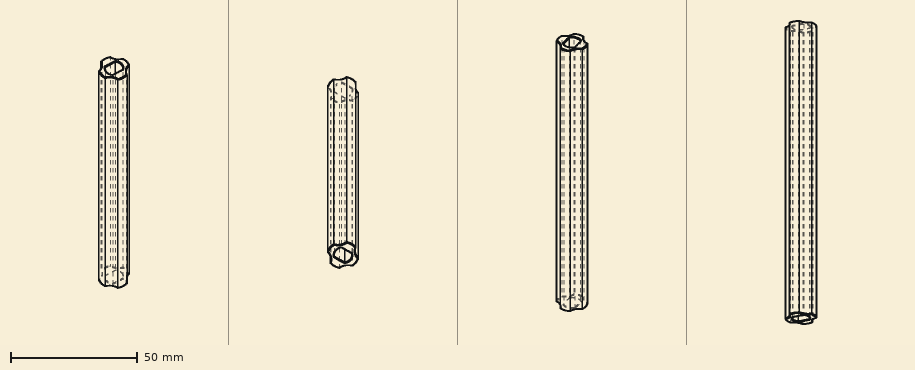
import cadquery as cq

length = 125.0
outer_radius = 6.2
flute_count = 4
flute_radius = 5.0
flute_axis_distance = 10.0
bore_radius = 3.5
bore_flat_offset = 2.5
end_chamfer = 0.3

first_flute_angle = 180.0 / flute_count


def fluted_bar():
    """Round bar with concave flutes along its full length, leaving a lobe between each pair."""
    bar = cq.Workplane("XY").circle(outer_radius).extrude(length)
    flutes = (
        cq.Workplane("XY")
        .polarArray(flute_axis_distance, first_flute_angle, 360, flute_count)
        .circle(flute_radius)
        .extrude(length)
    )
    return bar.cut(flutes)


def double_flat_bore():
    """Through bore: a round hole narrowed by two flats facing each other along X."""
    round_bore = cq.Workplane("XY").circle(bore_radius).extrude(length)
    between_flats = (
        cq.Workplane("XY")
        .rect(2 * bore_flat_offset, 2 * bore_radius)
        .extrude(length)
    )
    return round_bore.intersect(between_flats)


tube = fluted_bar().cut(double_flat_bore())
result = tube.faces("<Z or >Z").chamfer(end_chamfer)